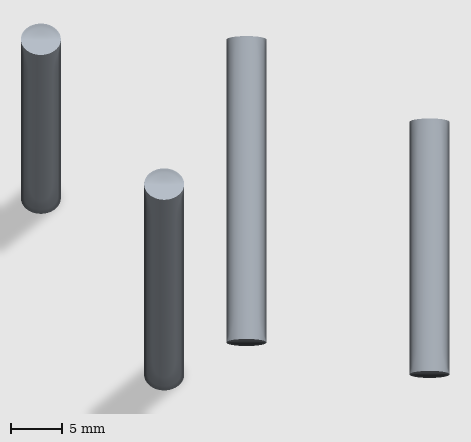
import cadquery as cq

pin_diameter = 3.9
pin_spacing = 25.0
short_pin_length = 25.0
long_pin_length = 30.0


def make_pin(x_center, length):
    """Plain round pin standing on the XY plane."""
    return cq.Workplane("XY").center(x_center, 0).circle(pin_diameter / 2).extrude(length)


short_pin = make_pin(-pin_spacing / 2, short_pin_length)
long_pin = make_pin(pin_spacing / 2, long_pin_length)

result = cq.Compound.makeCompound([short_pin.val(), long_pin.val()])